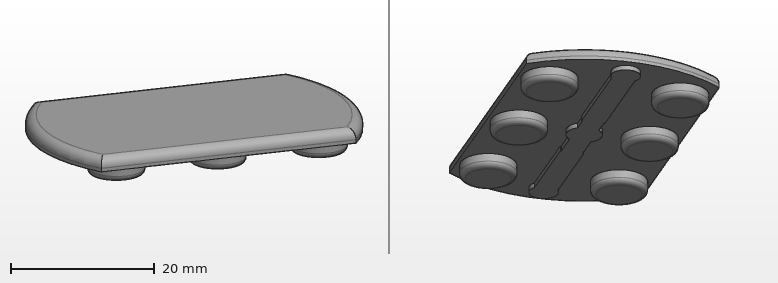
import cadquery as cq

plate_length = 47
plate_width = 28.0
plate_thickness = 2.0
plate_edge_radius = 1.5

overall_height = 4.0
foot_diameter = 8
foot_height = overall_height - plate_thickness
foot_edge_radius = 0.8
foot_column_spacing = 19.0
foot_row_spacing = 15.0

rib_height = 0.7
rib_front_end = -21.95
rib_back_end = 22.32
rib_end_radius = 2.05
rib_disc_radius = 2.55
rib_bar_width = 3.4
waist_width = 3.1
waist_front = -5.95
waist_back = 4.35


def make_plate():
    disc = cq.Workplane("XY").circle(plate_length / 2).extrude(plate_thickness)
    trim = cq.Workplane("XY").box(plate_width, plate_length, plate_thickness, centered=(True, True, False))
    return disc.intersect(trim).faces(">Z").edges().fillet(plate_edge_radius)


def make_feet():
    return (
        cq.Workplane("XY")
        .rarray(foot_column_spacing, foot_row_spacing, 2, 3)
        .circle(foot_diameter / 2)
        .extrude(-foot_height)
        .faces("<Z")
        .edges()
        .fillet(foot_edge_radius)
    )


def rib_disc(y, radius):
    return cq.Workplane("XY").center(0, y).circle(radius).extrude(-rib_height)


def rib_bar(y_start, y_end, width):
    length = y_end - y_start
    return cq.Workplane("XY").center(0, y_start + length / 2).rect(width, length).extrude(-rib_height)


def make_rib():
    front_center = rib_front_end + rib_end_radius
    back_center = rib_back_end - rib_end_radius
    return (
        rib_disc(0, rib_disc_radius)
        .union(rib_bar(waist_front, waist_back, waist_width))
        .union(rib_bar(front_center, waist_front, rib_bar_width))
        .union(rib_bar(waist_back, back_center, rib_bar_width))
        .union(rib_disc(front_center, rib_end_radius))
        .union(rib_disc(back_center, rib_end_radius))
    )


result = make_plate().union(make_feet()).union(make_rib())